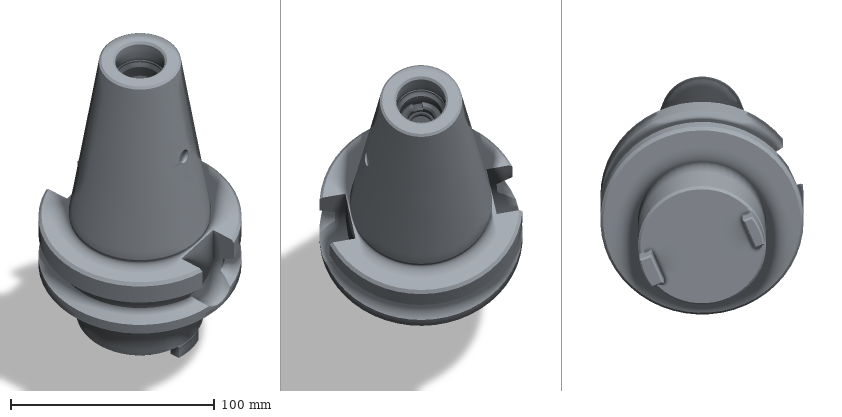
import cadquery as cq
import math

taper_length = 101.8
flange_top = -3.0
flange_bottom = -38.0
nose_bottom = -70.0
key_bottom = -78.0

gauge_radius = 69.85 / 2
taper_end = -0.8
taper_ratio = 7 / 24
shank_top_radius = gauge_radius - taper_ratio * taper_length / 2
shank_base_radius = gauge_radius - taper_ratio * taper_end / 2
shank_top_chamfer = 1.0

neck_radius = shank_base_radius - 0.3
neck_top = -1.8
root_fillet = 0.6

flange_radius = 50.0
flange_chamfer = 1.5
groove_center = -23.0
groove_floor_radius = 42.5
groove_floor_width = 6.5
groove_flank_angle = 30.0

nose_radius = 63.0 / 2
nose_chamfer = 1.2

slot_width = 25.7
slot_floor_x = 35.4
slot_bottom = -33.85

key_width = 16.0
key_outer_radius = 31.1
key_inner_left = 23.5
key_inner_right = 24.9
key_chamfer = 0.8

flank_hole_radius = 7.0 / 2
flank_hole_z = 52.0
flank_hole_floor_x = 22.0

bore_radius = 24.4 / 2
bore_mouth_chamfer = 1.1
relief_depth = 10.6
relief_width = 1.5
relief_radius = bore_radius + 0.5
seat_depth = 13.2
thread_radius = 21.1 / 2

plug_depth = 20.0
plug_radius = 19.5 / 2
socket_radius = 15.7 / 2
socket_chamfer = 1.0
socket_depth = 26.0
socket_step_depth = 24.0
socket_floor_radius = 11.0 / 2
socket_floor_chamfer = 0.5
plug_slot_width = 4.8
plug_slot_depth = 2.5

turning_plane = cq.Plane(origin=(0, 0, 0), xDir=(0, -1, 0), normal=(-1, 0, 0))


def make_body():
    """Shank, flange and nose, turned about Z."""
    flank_drop = (flange_radius - groove_floor_radius) * math.tan(math.radians(groove_flank_angle))
    floor_top = groove_center + groove_floor_width / 2
    floor_bottom = groove_center - groove_floor_width / 2
    chamfer_taper = shank_top_chamfer * taper_ratio / 2
    fillet_mid = root_fillet * (1 - math.sqrt(0.5))
    return (
        cq.Workplane(turning_plane)
        .moveTo(0, taper_length)
        .lineTo(shank_top_radius - shank_top_chamfer, taper_length)
        .lineTo(shank_top_radius + chamfer_taper, taper_length - shank_top_chamfer)
        .lineTo(shank_base_radius, taper_end)
        .lineTo(neck_radius, neck_top)
        .lineTo(neck_radius, flange_top + root_fillet)
        .threePointArc(
            (neck_radius + fillet_mid, flange_top + fillet_mid),
            (neck_radius + root_fillet, flange_top),
        )
        .lineTo(flange_radius - flange_chamfer, flange_top)
        .lineTo(flange_radius, flange_top - flange_chamfer)
        .lineTo(flange_radius, floor_top + flank_drop)
        .lineTo(groove_floor_radius, floor_top)
        .lineTo(groove_floor_radius, floor_bottom)
        .lineTo(flange_radius, floor_bottom - flank_drop)
        .lineTo(flange_radius, flange_bottom + flange_chamfer)
        .lineTo(flange_radius - flange_chamfer, flange_bottom)
        .lineTo(nose_radius, flange_bottom)
        .lineTo(nose_radius, nose_bottom + nose_chamfer)
        .lineTo(nose_radius - nose_chamfer, nose_bottom)
        .lineTo(0, nose_bottom)
        .close()
        .revolve(360, (0, 0, 0), (0, 1, 0))
    )


def make_bore():
    """Stepped, slotted bore to be cut from the top of the shank."""
    relief_top = taper_length - relief_depth
    relief_bottom = relief_top - relief_width
    seat_top = taper_length - seat_depth
    seat_bottom = seat_top - (bore_radius - thread_radius)
    plug_top = taper_length - plug_depth
    plug_shoulder = plug_top - (thread_radius - plug_radius)
    socket_step = taper_length - socket_step_depth
    socket_floor = taper_length - socket_depth
    socket_wall_radius = socket_radius - socket_chamfer
    turned = (
        cq.Workplane(turning_plane)
        .moveTo(0, taper_length)
        .lineTo(bore_radius + bore_mouth_chamfer, taper_length)
        .lineTo(bore_radius, taper_length - bore_mouth_chamfer)
        .lineTo(bore_radius, relief_top)
        .lineTo(relief_radius, relief_top)
        .lineTo(relief_radius, relief_bottom)
        .lineTo(bore_radius, relief_bottom)
        .lineTo(bore_radius, seat_top)
        .lineTo(thread_radius, seat_bottom)
        .lineTo(thread_radius, plug_shoulder)
        .lineTo(plug_radius, plug_top)
        .lineTo(socket_radius, plug_top)
        .lineTo(socket_wall_radius, plug_top - socket_chamfer)
        .lineTo(socket_wall_radius, socket_step)
        .lineTo(socket_floor_radius + socket_floor_chamfer, socket_step)
        .lineTo(socket_floor_radius, socket_step - socket_floor_chamfer)
        .lineTo(socket_floor_radius, socket_floor)
        .lineTo(0, socket_floor)
        .close()
        .revolve(360, (0, 0, 0), (0, 1, 0))
    )
    slot_plane = cq.Workplane("XY", origin=(0, 0, plug_top - plug_slot_depth))
    slot_bar = slot_plane.rect(plug_slot_width, 2 * bore_radius).extrude(plug_slot_depth)
    slot_limit = slot_plane.circle(thread_radius).extrude(plug_slot_depth)
    return turned.union(slot_bar.intersect(slot_limit))


def make_flank_hole():
    """Blind radial hole entering the taper from +X."""
    return (
        cq.Workplane("YZ", origin=(flank_hole_floor_x, 0, 0))
        .center(0, flank_hole_z)
        .circle(flank_hole_radius)
        .extrude(gauge_radius - flank_hole_floor_x)
    )


def make_drive_slot(side):
    """Round-bottomed slot, open upward and outward; side is -1 or +1 along X."""
    radius = slot_width / 2
    arc_center = slot_bottom + radius
    profile = (
        cq.Workplane("YZ", origin=(side * slot_floor_x, 0, 0))
        .moveTo(-radius, flange_top)
        .lineTo(-radius, arc_center)
        .threePointArc((0, slot_bottom), (radius, arc_center))
        .lineTo(radius, flange_top)
        .close()
    )
    return profile.extrude(side * (flange_radius - slot_floor_x))


def make_key(side, inner_x):
    """Drive key with a round outer face and a chamfered lower edge."""
    height = nose_bottom - key_bottom
    disc = cq.Workplane("XY", origin=(0, 0, key_bottom)).circle(key_outer_radius).extrude(height)
    length = key_outer_radius - inner_x
    block = (
        cq.Workplane("XY", origin=(side * (inner_x + length / 2), 0, key_bottom))
        .rect(length, key_width)
        .extrude(height)
    )
    return block.intersect(disc).faces("<Z").chamfer(key_chamfer)


result = make_body().cut(make_bore()).cut(make_flank_hole())
for side in (-1, 1):
    result = result.cut(make_drive_slot(side))
result = result.union(make_key(-1, key_inner_left)).union(make_key(1, key_inner_right))